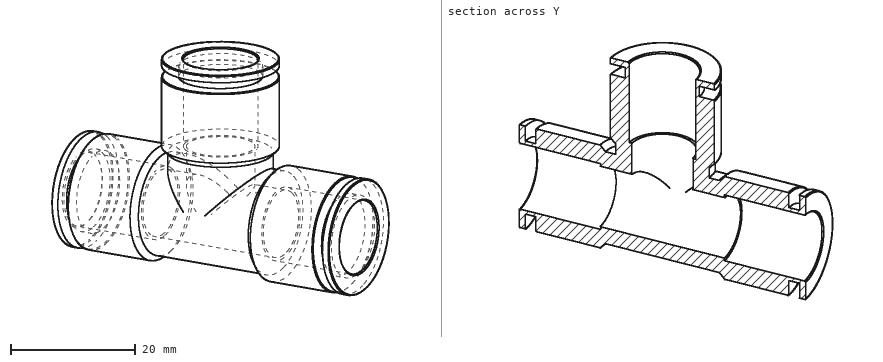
import cadquery as cq

arm_length = 26.0
body_diameter = 19.0
pipe_diameter = 17.0
neck_diameter = 13.5
socket_diameter = 12.0
bore_diameter = 11.0
flange_thickness = 1.2
neck_length = 1.8
body_length = 12.7
edge_chamfer = 0.15
mouth_chamfer = 0.2

flange_start = arm_length - flange_thickness
body_end = flange_start - neck_length
body_start = body_end - body_length
shoulder = (body_diameter - pipe_diameter) / 2
socket_floor = body_start + shoulder

X_AXIS = cq.Vector(1, 0, 0)
Z_AXIS = cq.Vector(0, 0, 1)
PORT_DIRECTIONS = (X_AXIS, -X_AXIS, Z_AXIS)


def cylinder(diameter, start, end, direction):
    """Cylinder between two distances along an arm."""
    return cq.Workplane(
        cq.Solid.makeCylinder(diameter / 2, end - start, direction * start, direction)
    )


def cone(start_diameter, end_diameter, start, end, direction):
    """Cone frustum between two distances along an arm."""
    return cq.Workplane(
        cq.Solid.makeCone(
            start_diameter / 2, end_diameter / 2, end - start, direction * start, direction
        )
    )


def port(direction):
    """Sleeve with a sloped shoulder, a release-ring neck and its flange."""
    slope = cone(pipe_diameter, body_diameter, body_start, body_start + shoulder, direction)
    sleeve = cylinder(body_diameter, body_start + shoulder, body_end, direction)
    sleeve = sleeve.edges(cq.selectors.CenterNthSelector(direction, -1)).chamfer(edge_chamfer)
    neck = cylinder(neck_diameter, body_end, flange_start, direction)
    flange = cylinder(body_diameter, flange_start, arm_length, direction)
    flange = flange.edges(cq.selectors.CenterNthSelector(direction, -1)).chamfer(edge_chamfer)
    return slope.union(sleeve).union(neck).union(flange)


def port_opening(direction):
    """Through bore with a deep tube socket and a chamfered mouth."""
    bore = cylinder(bore_diameter, 0, arm_length, direction)
    socket = cylinder(socket_diameter, socket_floor, arm_length, direction)
    lead_in = cone(
        socket_diameter,
        socket_diameter + 2 * mouth_chamfer,
        arm_length - mouth_chamfer,
        arm_length,
        direction,
    )
    return bore.union(socket).union(lead_in)


result = cylinder(pipe_diameter, -body_start, body_start, X_AXIS)
result = result.union(cylinder(pipe_diameter, 0, body_start, Z_AXIS))
for direction in PORT_DIRECTIONS:
    result = result.union(port(direction))
for direction in PORT_DIRECTIONS:
    result = result.cut(port_opening(direction))